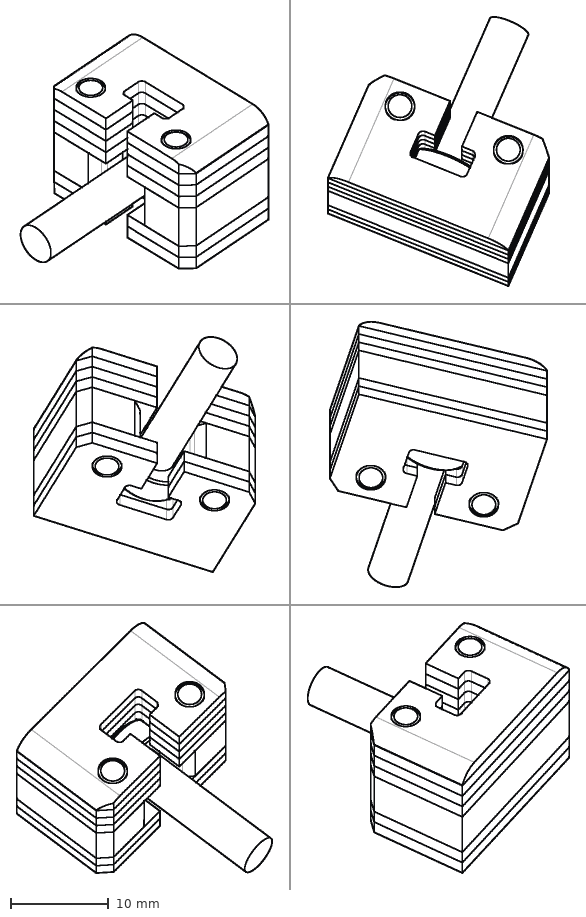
import cadquery as cq
import math

block_width = 20.0
block_depth = 12.0
block_height = 14.1
corner_chamfer = 1.25

middle_thickness = 5.1
lower_plate_count = 2
upper_plate_count = 4
thin_plate_count = lower_plate_count + upper_plate_count
thin_thickness = (block_height - middle_thickness) / thin_plate_count
middle_bottom = lower_plate_count * thin_thickness
middle_top = middle_bottom + middle_thickness

edge_radius = 2.5
edge_run = 2.25

overall_length = 24.0
screw_tip_y = block_depth - overall_length
screw_z = middle_bottom + middle_thickness / 2
shank_diameter = 4.3
head_diameter = 7.73
head_length = 3.0
head_chamfer = 0.25
head_front_y = 4.0
head_back_y = head_front_y + head_length

neck_width = 3.0
pocket_width = 6.25
pocket_corner_radius = 0.5

mouth_width = 8.0
slot_width = 5.6
mouth_blend_radius = 0.86
slot_end_radius = 0.3
head_pocket_width = mouth_width

pin_diameter = 3.0
pin_chamfer = 0.3
pin_spacing = 12.0
pin_y = 2.5
pin_xs = (-pin_spacing / 2, pin_spacing / 2)


def box_on_y(width, front_y, back_y, height):
    """Box centred on X, standing on Z = 0, between two Y positions."""
    return cq.Workplane("XY").box(
        width, back_y - front_y, height, centered=(True, False, False)
    ).translate((0, front_y, 0))


def make_blank(thickness):
    """Plate with chamfered front corners and both pin holes, no screw opening."""
    return (
        box_on_y(block_width, 0, block_depth, thickness)
        .edges("|Z and <Y")
        .chamfer(corner_chamfer)
        .cut(
            cq.Workplane("XY")
            .pushPoints([(x, pin_y) for x in pin_xs])
            .circle(pin_diameter / 2)
            .extrude(thickness)
        )
    )


def make_thin_plate():
    """Plate with a narrow neck leading to a round-cornered pocket for the screw head."""
    pocket = (
        box_on_y(pocket_width, head_front_y, head_back_y, thin_thickness)
        .edges("|Z")
        .fillet(pocket_corner_radius)
    )
    neck = box_on_y(neck_width, 0, head_back_y - pocket_corner_radius, thin_thickness)
    return make_blank(thin_thickness).cut(pocket).cut(neck)


def make_middle_plate():
    """Thick plate whose flared slot takes the shank and widens into the head pocket."""
    half_mouth = mouth_width / 2
    half_slot = slot_width / 2
    half_pocket = head_pocket_width / 2
    flare_depth = half_mouth - half_slot
    opening = (
        cq.Workplane("XY")
        .polyline([
            (-half_mouth, 0),
            (half_mouth, 0),
            (half_slot, flare_depth),
            (half_slot, head_front_y),
            (half_pocket, head_front_y),
            (half_pocket, head_back_y),
            (-half_pocket, head_back_y),
            (-half_pocket, head_front_y),
            (-half_slot, head_front_y),
            (-half_slot, flare_depth),
        ])
        .close()
        .extrude(middle_thickness)
    )
    for x in (-half_slot, half_slot):
        blend_at = cq.selectors.NearestToPointSelector((x, flare_depth, middle_thickness / 2))
        opening = opening.edges(blend_at).fillet(mouth_blend_radius)
        end_at = cq.selectors.NearestToPointSelector((x, head_front_y, middle_thickness / 2))
        opening = opening.edges(end_at).fillet(slot_end_radius)
    return make_blank(middle_thickness).cut(opening).translate((0, 0, middle_bottom))


def make_cover_plate():
    """Thin plate with its two upper side edges rounded, at the top of the stack."""
    half_width = block_width / 2
    tangent_x = half_width - edge_run
    arc_centre_z = thin_thickness - edge_radius
    side_z = arc_centre_z + math.sqrt(edge_radius**2 - edge_run**2)
    half_run_z = arc_centre_z + math.sqrt(edge_radius**2 - (edge_run / 2) ** 2)
    half_run_x = tangent_x + edge_run / 2
    profile = (
        cq.Workplane("XZ")
        .moveTo(-half_width, 0)
        .lineTo(half_width, 0)
        .lineTo(half_width, side_z)
        .threePointArc((half_run_x, half_run_z), (tangent_x, thin_thickness))
        .lineTo(-tangent_x, thin_thickness)
        .threePointArc((-half_run_x, half_run_z), (-half_width, side_z))
        .close()
        .extrude(-block_depth)
    )
    return make_thin_plate().intersect(profile).translate((0, 0, block_height - thin_thickness))


def make_screw():
    """Cylindrical head with both rims chamfered, and a plain shank toward -Y."""
    head = (
        cq.Workplane("XZ")
        .circle(head_diameter / 2)
        .extrude(-head_length)
        .faces("<Y or >Y")
        .chamfer(head_chamfer)
        .translate((0, head_front_y, 0))
    )
    shank = (
        cq.Workplane("XZ", origin=(0, head_front_y, 0))
        .circle(shank_diameter / 2)
        .extrude(head_front_y - screw_tip_y)
    )
    return head.union(shank).translate((0, 0, screw_z))


def make_pin(x):
    """Dowel through the full stack, chamfered at both ends."""
    return (
        cq.Workplane("XY")
        .circle(pin_diameter / 2)
        .extrude(block_height)
        .faces("<Z or >Z")
        .chamfer(pin_chamfer)
        .translate((x, pin_y, 0))
    )


lower_levels = [i * thin_thickness for i in range(lower_plate_count)]
upper_levels = [middle_top + i * thin_thickness for i in range(upper_plate_count - 1)]

thin_plates = [make_thin_plate().translate((0, 0, z)) for z in lower_levels + upper_levels]
middle_plate = make_middle_plate()
cover_plate = make_cover_plate()
screw = make_screw()
pins = [make_pin(x) for x in pin_xs]

result = cq.Compound.makeCompound([
    *[plate.val() for plate in thin_plates],
    middle_plate.val(),
    cover_plate.val(),
    screw.val(),
    *[pin.val() for pin in pins],
])